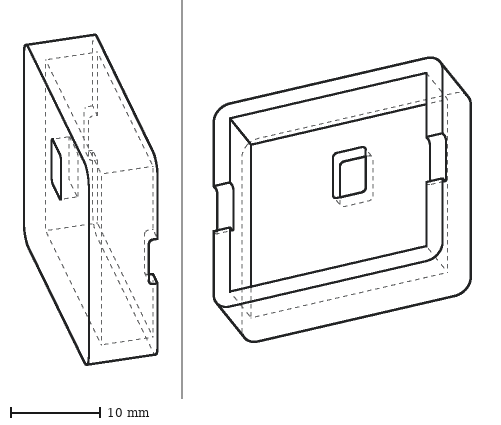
import cadquery as cq

width = 28.0
depth = 8.0
height = 27.0
corner_radius = 2.0
wall = 2.0

window_width = 4.0
window_height = 6.0
window_radius = 0.5
window_center_z = 4.8

notch_height = 6.0
notch_depth = 1.0
notch_radius = 0.5


def upright_block(size_x, size_z, y_start, y_end):
    """Block centred on X and Z that spans y_start to y_end."""
    length = y_end - y_start
    return cq.Workplane("XY").box(size_x, length, size_z).translate((0, y_start + length / 2, 0))


def make_shell():
    body = upright_block(width, height, 0, depth).edges("|Y").fillet(corner_radius)
    cavity = upright_block(width - 2 * wall, height - 2 * wall, wall, depth)
    return body.cut(cavity)


def make_window():
    window = upright_block(window_width, window_height, 0, wall)
    return window.edges("|Y").fillet(window_radius).translate((0, 0, window_center_z))


def make_notch():
    """Cutter running the full width, with both edges of its floor rounded."""
    notch = upright_block(width, notch_height, depth - notch_depth, depth)
    return notch.edges("|X and <Y").fillet(notch_radius)


result = make_shell().cut(make_window()).cut(make_notch())